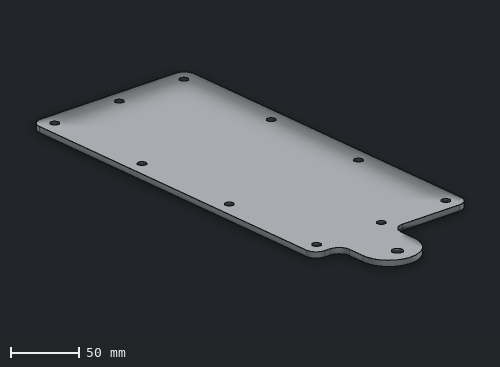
import cadquery as cq

total_length = 370.0
plate_length = 320.0
plate_width = 150.0
thickness = 5.0
corner_radius = 10.0

tab_width = 50.0
tab_radius = tab_width / 2
tab_center_y = -tab_width / 2
tab_end_center_x = total_length - tab_radius
tab_fillet = 10.0
tab_hole_diameter = 9.0
tab_hole_end_distance = 15.0

hole_diameter = 7.0
hole_inset = 12.5
holes_per_long_side = 4


def rounded_plate():
    """Main plate, with its -X edge at X = 0 and centred on Y = 0."""
    plate = cq.Workplane("XY").box(plate_length, plate_width, thickness, centered=(False, True, False))
    return plate.edges("|Z").fillet(corner_radius)


def tab():
    """Tab with a full-round end, starting inside the plate."""
    root_x = plate_length / 2
    return (
        cq.Workplane("XY")
        .moveTo(root_x, tab_center_y - tab_radius)
        .lineTo(tab_end_center_x, tab_center_y - tab_radius)
        .threePointArc((total_length, tab_center_y), (tab_end_center_x, tab_center_y + tab_radius))
        .lineTo(root_x, tab_center_y + tab_radius)
        .close()
        .extrude(thickness)
    )


def fixing_hole_points():
    """Rows along both long sides, plus one hole midway along each short side."""
    first_x = hole_inset
    last_x = plate_length - hole_inset
    row_y = plate_width / 2 - hole_inset
    pitch = (last_x - first_x) / (holes_per_long_side - 1)
    rows = [(first_x + i * pitch, y) for i in range(holes_per_long_side) for y in (-row_y, row_y)]
    return rows + [(first_x, 0), (last_x, 0)]


def drill(points, diameter):
    """Through-hole cutters at the given points."""
    return cq.Workplane("XY").pushPoints(points).circle(diameter / 2).extrude(thickness)


body = rounded_plate().union(tab())
for side in (-1, 1):
    corner = (plate_length, tab_center_y + side * tab_radius, thickness / 2)
    body = body.edges(cq.selectors.NearestToPointSelector(corner)).fillet(tab_fillet)

tab_hole_point = (total_length - tab_hole_end_distance, tab_center_y)
result = body.cut(drill(fixing_hole_points(), hole_diameter)).cut(drill([tab_hole_point], tab_hole_diameter))